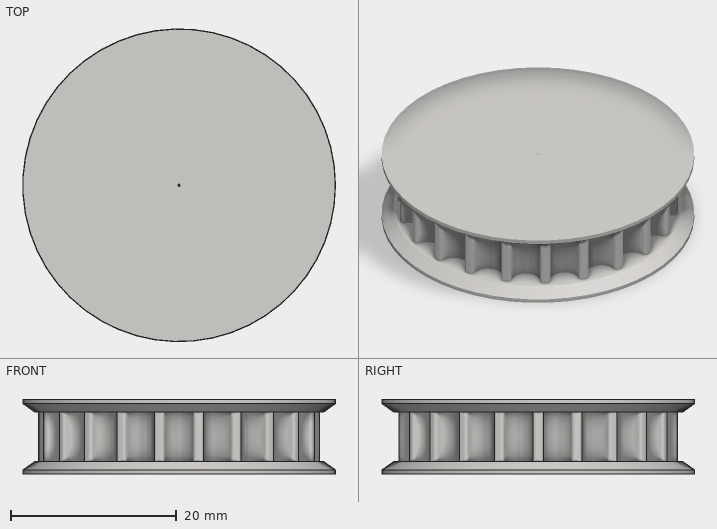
import cadquery as cq
import math


total_height = 9.0
rim_height = 0.5
bevel_height = 1.0
flange_height = rim_height + bevel_height
drum_height = total_height - 2 * flange_height

flange_radius = 18.85
bevel_inner_radius = 17.45
drum_radius = 16.95
groove_floor_distance = 14.83
bore_diameter = 0.2

groove_count = 22
groove_radius = 1.75
groove_center_distance = 16.53
tip_radius = 0.4
groove_pitch_angle = 360 / groove_count

tolerance = 0.005


def make_flange():
    """Flange standing on Z = 0: a thin rim, then a bevel narrowing upwards."""
    outline = [
        (0, 0),
        (flange_radius, 0),
        (flange_radius, rim_height),
        (bevel_inner_radius, flange_height),
        (0, flange_height),
    ]
    return cq.Workplane("XZ").polyline(outline).close().revolve(360, (0, 0, 0), (0, 1, 0))


def make_groove():
    """Cutter for one belt groove, centred on the -Y direction and open outwards."""
    floor_depth = groove_center_distance - groove_floor_distance
    floor_half_width = math.sqrt(groove_radius**2 - floor_depth**2)
    floor_angle = math.atan2(floor_depth, floor_half_width)
    wall_mid_x = groove_radius * math.cos(floor_angle / 2)
    wall_mid_y = groove_radius * math.sin(floor_angle / 2) - groove_center_distance
    mouth_y = -flange_radius
    return (
        cq.Workplane("XY")
        .workplane(offset=flange_height)
        .moveTo(-floor_half_width, -groove_floor_distance)
        .lineTo(floor_half_width, -groove_floor_distance)
        .threePointArc((wall_mid_x, wall_mid_y), (groove_radius, -groove_center_distance))
        .lineTo(groove_radius, mouth_y)
        .lineTo(-groove_radius, mouth_y)
        .lineTo(-groove_radius, -groove_center_distance)
        .threePointArc((-wall_mid_x, wall_mid_y), (-floor_half_width, -groove_floor_distance))
        .close()
        .extrude(drum_height)
    )


def is_tooth_corner(edge):
    """True for the upright edges where a groove wall meets the drum surface."""
    middle = edge.Center()
    return math.isclose(math.hypot(middle.x, middle.y), drum_radius, abs_tol=tolerance)


def make_drum():
    """Toothed drum between the flanges, with every tooth tip rounded."""
    drum = cq.Workplane("XY").workplane(offset=flange_height).circle(drum_radius).extrude(drum_height)
    drum = drum.rotate((0, 0, 0), (0, 0, 1), -90)
    groove = make_groove()
    for index in range(groove_count):
        drum = drum.cut(groove.rotate((0, 0, 0), (0, 0, 1), index * groove_pitch_angle))
    return drum.edges("|Z").filter(is_tooth_corner).fillet(tip_radius)


lower_flange = make_flange()
upper_flange = lower_flange.mirror("XY").translate((0, 0, total_height))
bore = cq.Workplane("XY").circle(bore_diameter / 2).extrude(total_height)

pulley = make_drum().union(lower_flange).union(upper_flange)
result = pulley.cut(bore)